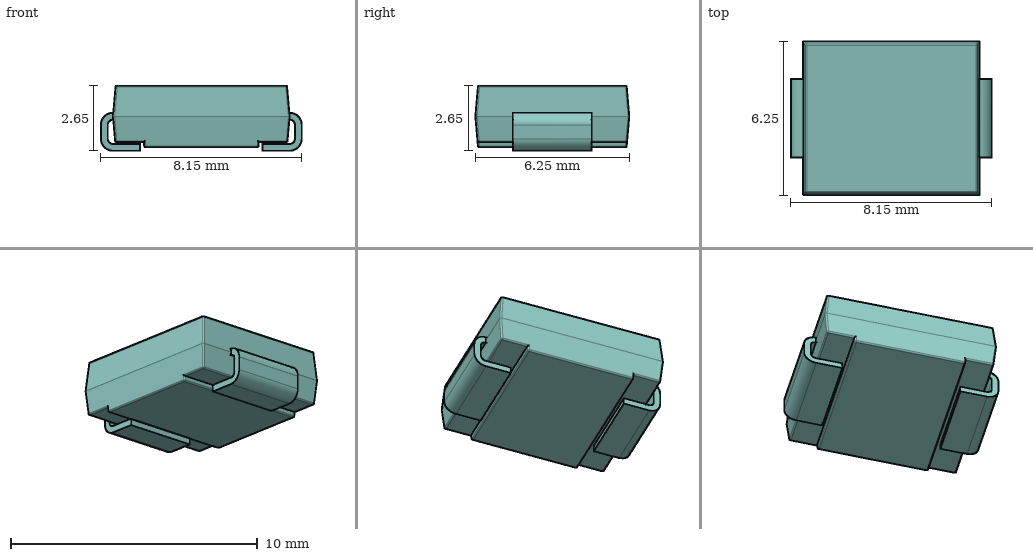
import cadquery as cq
import math

overall_length = 8.15
overall_height = 2.65

housing_length = 7.17
housing_width = 6.25
housing_bottom = 0.15
parting_height = (housing_bottom + overall_height) / 2
draft_angle = 5.0
edge_radius = 0.065

pad_length = 4.67
step_height = 0.36

lead_width = 3.195
lead_thickness = 0.285
lead_height = 1.55
lead_inner_radius = 0.21
lead_outer_radius = lead_inner_radius + lead_thickness
foot_length = 1.6
lead_embedment = 0.16
lead_end = housing_length / 2 - lead_embedment


def tapered_half(height):
    """Half of the housing, from the parting plane up (+) or down (-)."""
    direction = math.copysign(1, height)
    plane = cq.Plane(origin=(0, 0, parting_height), xDir=(1, 0, 0), normal=(0, 0, direction))
    return (
        cq.Workplane(plane)
        .rect(housing_length, housing_width)
        .extrude(abs(height), taper=draft_angle)
        .edges("not (|X or |Y)")
        .fillet(edge_radius)
    )


def make_pad():
    """Middle of the lower housing half, full width, rounded on its upright and bottom edges."""
    taper = math.tan(math.radians(draft_angle))
    bottom_length = pad_length - 2 * (step_height - housing_bottom) * taper
    top_length = pad_length + 2 * (parting_height - step_height) * taper
    wedge = (
        cq.Workplane("XZ")
        .moveTo(-bottom_length / 2, housing_bottom)
        .lineTo(bottom_length / 2, housing_bottom)
        .lineTo(top_length / 2, parting_height)
        .lineTo(-top_length / 2, parting_height)
        .close()
        .extrude(housing_width / 2, both=True)
    )
    pad = tapered_half(housing_bottom - parting_height).intersect(wedge)
    pad = pad.edges("not (|X or |Y)").fillet(edge_radius)
    return pad.faces("<Z").edges().fillet(edge_radius)


def make_lead(side):
    """One lead: out of the housing, down its end and back underneath it."""
    outer_face = overall_length / 2
    lead = (
        cq.Workplane("XZ")
        .moveTo(lead_end, lead_height)
        .lineTo(outer_face - lead_outer_radius, lead_height)
        .radiusArc((outer_face, lead_height - lead_outer_radius), lead_outer_radius)
        .lineTo(outer_face, lead_outer_radius)
        .radiusArc((outer_face - lead_outer_radius, 0), lead_outer_radius)
        .lineTo(outer_face - foot_length, 0)
        .lineTo(outer_face - foot_length, lead_thickness)
        .lineTo(outer_face - lead_outer_radius, lead_thickness)
        .radiusArc((outer_face - lead_thickness, lead_outer_radius), -lead_inner_radius)
        .lineTo(outer_face - lead_thickness, lead_height - lead_outer_radius)
        .radiusArc((outer_face - lead_outer_radius, lead_height - lead_thickness), -lead_inner_radius)
        .lineTo(lead_end, lead_height - lead_thickness)
        .close()
        .extrude(lead_width / 2, both=True)
    )
    if side < 0:
        lead = lead.mirror("YZ")
    return lead


def make_housing(leads):
    """Drafted housing with a stepped, rounded underside and a pocket for each lead."""
    top = tapered_half(overall_height - parting_height).faces(">Z").edges().fillet(edge_radius)
    shoulders = tapered_half(step_height - parting_height).faces("<Z").edges().fillet(edge_radius)
    housing = top.union(shoulders).union(make_pad())
    for lead in leads:
        housing = housing.cut(lead)
    return housing


leads = [make_lead(side) for side in (-1, 1)]
housing = make_housing(leads)

result = cq.Compound.makeCompound([housing.val(), *[lead.val() for lead in leads]])